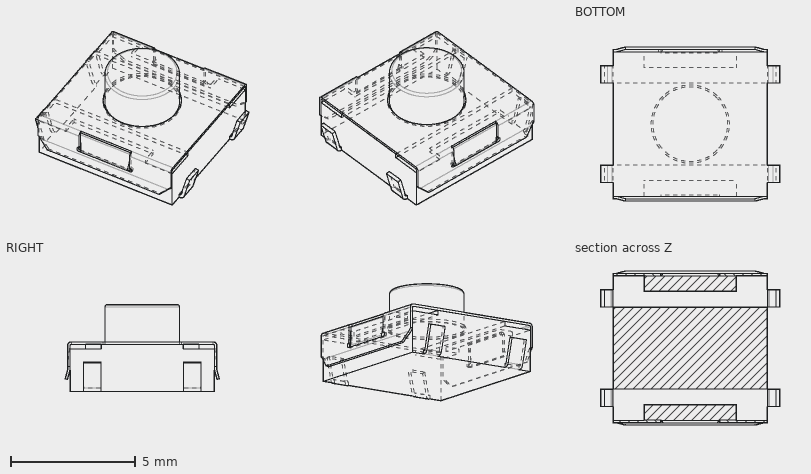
import cadquery as cq
import math

base_length = 6.21
base_width = 5.8
base_height = 1.9
corner_round = 0.05

cover_thickness = 0.1
cover_top = base_height + cover_thickness
cover_half_width = base_width / 2 + cover_thickness
bend_round = corner_round + cover_thickness
button_clearance_diameter = 3.15

skirt_angle = math.radians(15)
skirt_bend_height = 0.88
skirt_span = 6.2
skirt_reach = skirt_span / 2
corner_cut_height = 1.0

button_diameter = 3.0
button_top = 3.5
button_edge_round = 0.1

catch_half_length = 1.18
catch_bottom = 1.015
catch_lip_height = 0.07
window_relief_diameter = 0.18
window_relief_offset = 0.015

recess_depth = 0.19
recess_inner_y = 1.65
recess_outer_y = 2.275
corner_recess_length = 1.25

terminal_thickness = 0.15
terminal_width = 0.705
terminal_spacing = 4.0
terminal_angle = math.radians(75)
terminal_bend_radius = 0.2
terminal_foot = 0.035
terminal_reach = 3.6

SIDES = (1, -1)


def block(x_range, y_range, z_range):
    """Box between the given pairs of limits."""
    lows, highs = zip(x_range, y_range, z_range)
    size = [high - low for low, high in zip(lows, highs)]
    return cq.Workplane("XY").box(*size, centered=False).translate(lows)


def mirrored_in_y(shape, side):
    """The shape as built on the +Y side, or its mirror image for side -1."""
    return shape if side > 0 else shape.mirror("XZ")


def make_terminal():
    """Bent terminal on the +X side, centred on Y = 0."""
    sin_a = math.sin(terminal_angle)
    cos_a = math.cos(terminal_angle)
    inner_radius = terminal_bend_radius - terminal_thickness
    bend_x = base_length / 2 + terminal_foot
    bend_z = terminal_bend_radius
    leg_length = (terminal_reach - bend_x - terminal_bend_radius * sin_a) / cos_a

    def on_bend(radius, angle):
        return (bend_x + radius * math.sin(angle), bend_z - radius * math.cos(angle))

    def up_leg(point):
        return (point[0] + leg_length * cos_a, point[1] + leg_length * sin_a)

    half_angle = terminal_angle / 2
    outer_end = on_bend(terminal_bend_radius, terminal_angle)
    inner_end = on_bend(inner_radius, terminal_angle)
    return (
        cq.Workplane("XZ")
        .moveTo(base_length / 2, 0)
        .lineTo(bend_x, 0)
        .threePointArc(on_bend(terminal_bend_radius, half_angle), outer_end)
        .lineTo(*up_leg(outer_end))
        .lineTo(*up_leg(inner_end))
        .lineTo(*inner_end)
        .threePointArc(on_bend(inner_radius, half_angle), (bend_x, terminal_thickness))
        .lineTo(base_length / 2, terminal_thickness)
        .close()
        .extrude(terminal_width / 2, both=True)
    )


def make_catch():
    """Wedge-shaped snap catch on the +Y side, with 45 degree ends."""
    root_y = base_width / 2
    wedge = (
        cq.Workplane("YZ")
        .moveTo(root_y, catch_bottom)
        .lineTo(cover_half_width, catch_bottom)
        .lineTo(cover_half_width, catch_bottom + catch_lip_height)
        .lineTo(root_y, base_height - corner_round)
        .close()
        .extrude(catch_half_length, both=True)
    )
    tip_half_length = catch_half_length - cover_thickness
    plan = (
        cq.Workplane("XY")
        .moveTo(-catch_half_length, root_y)
        .lineTo(catch_half_length, root_y)
        .lineTo(tip_half_length, cover_half_width)
        .lineTo(-tip_half_length, cover_half_width)
        .close()
        .extrude(base_height)
    )
    return wedge.intersect(plan)


def make_recesses():
    """Channel along the whole length and a recess at each corner, on the +Y side."""
    half_length = base_length / 2
    levels = (base_height - recess_depth, base_height)
    recesses = block((-half_length, half_length), (recess_inner_y, recess_outer_y), levels)
    corner_y = (recess_outer_y, base_width / 2)
    for x_range in (
        (-half_length, corner_recess_length - half_length),
        (half_length - corner_recess_length, half_length),
    ):
        recesses = recesses.union(block(x_range, corner_y, levels))
    return recesses


def make_base():
    """Base block with its catches, terminals and button."""
    base = (
        cq.Workplane("XY")
        .box(base_length, base_width, base_height, centered=(True, True, False))
        .edges("|X and >Z")
        .fillet(corner_round)
    )
    catch = make_catch()
    recesses = make_recesses()
    for side in SIDES:
        base = base.cut(mirrored_in_y(recesses, side))
        base = base.union(mirrored_in_y(catch, side))

    terminal = make_terminal()
    for end in SIDES:
        end_terminal = terminal if end > 0 else terminal.mirror("YZ")
        for side in SIDES:
            base = base.union(end_terminal.translate((0, side * terminal_spacing / 2, 0)))

    button = (
        cq.Workplane("XY")
        .workplane(offset=base_height)
        .circle(button_diameter / 2)
        .extrude(button_top - base_height)
        .faces(">Z")
        .edges()
        .fillet(button_edge_round)
    )
    return base.union(button)


def make_window():
    """Cutter for the window around the +Y catch, with round reliefs at its lower corners."""
    relief_radius = window_relief_diameter / 2
    window = block(
        (-catch_half_length, catch_half_length),
        (cover_half_width - bend_round, cover_half_width),
        (catch_bottom, cover_top),
    )
    relief_x = catch_half_length + window_relief_offset
    reliefs = (
        cq.Workplane("XZ", origin=(0, cover_half_width, catch_bottom + relief_radius))
        .pushPoints([(-relief_x, 0), (relief_x, 0)])
        .circle(relief_radius)
        .extrude(cover_thickness)
    )
    sill = block(
        (-relief_x, relief_x),
        (cover_half_width - cover_thickness, cover_half_width),
        (catch_bottom, catch_bottom + relief_radius),
    )
    return window.union(reliefs).union(sill)


def make_skirt():
    """Lower strip of the +Y cover side: a short upright part, then the flared skirt."""
    drop = (skirt_reach - cover_half_width) / math.tan(skirt_angle)
    tip_z = skirt_bend_height - drop
    inner_bend_z = skirt_bend_height - cover_thickness * math.tan(skirt_angle / 2)
    tip_inner_y = skirt_reach - cover_thickness * math.cos(skirt_angle)
    tip_inner_z = tip_z - cover_thickness * math.sin(skirt_angle)
    return (
        cq.Workplane("YZ")
        .moveTo(cover_half_width, corner_cut_height)
        .lineTo(cover_half_width, skirt_bend_height)
        .lineTo(skirt_reach, tip_z)
        .lineTo(tip_inner_y, tip_inner_z)
        .lineTo(base_width / 2, inner_bend_z)
        .lineTo(base_width / 2, corner_cut_height)
        .close()
        .extrude(base_length / 2, both=True)
    )


def make_corner_trim():
    """Outline of the cover sides: square at the top, cut at 45 degrees towards the bottom."""
    half_length = base_length / 2
    return (
        cq.Workplane("XZ")
        .moveTo(-half_length, cover_top)
        .lineTo(half_length, cover_top)
        .lineTo(half_length, corner_cut_height)
        .lineTo(half_length - corner_cut_height, 0)
        .lineTo(corner_cut_height - half_length, 0)
        .lineTo(-half_length, corner_cut_height)
        .close()
        .extrude(skirt_reach, both=True)
    )


def make_cover():
    """Folded cover with a button hole, catch windows and flared skirts."""
    outside = block(
        (-base_length / 2, base_length / 2),
        (-cover_half_width, cover_half_width),
        (corner_cut_height, cover_top),
    ).edges("|X and >Z").fillet(bend_round)
    inside = block(
        (-base_length / 2, base_length / 2),
        (-base_width / 2, base_width / 2),
        (corner_cut_height, base_height),
    ).edges("|X and >Z").fillet(corner_round)
    cover = outside.cut(inside)

    skirt = make_skirt()
    window = make_window()
    for side in SIDES:
        cover = cover.union(mirrored_in_y(skirt, side))
        cover = cover.cut(mirrored_in_y(window, side))

    button_hole = cq.Workplane("XY").circle(button_clearance_diameter / 2).extrude(cover_top)
    return cover.intersect(make_corner_trim()).cut(button_hole)


base = make_base()
cover = make_cover()
result = cq.Compound.makeCompound([base.solids().val(), cover.solids().val()])